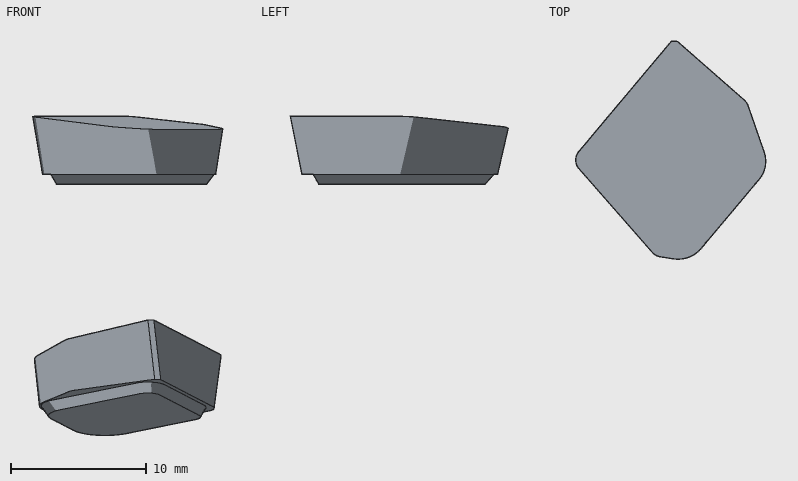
import cadquery as cq
import math

height = 5.03
base_height = 0.73
top_tilt = 4.8
trim_size = 48.36

UPPER_LEFT = 140
LOWER_LEFT = 220
LOWER_RIGHT = 320
BOTTOM_END = 260
RIGHT_END = 20
UPPER_RIGHT = 50
BASE_UPPER_RIGHT = 40
TIP = 90

upper_left_distance = 5.15
body_walls = [
    (UPPER_LEFT, upper_left_distance, 0.0, 1.0),
    (LOWER_LEFT, 6.1, 0.26, 1.0),
    (BOTTOM_END, 8.11, 0.26, 2.18),
    (LOWER_RIGHT, 6.4, 0.0, 2.0),
    (RIGHT_END, 6.64, 0.21, 1.0),
    (UPPER_RIGHT, 6.5, 0.26, 0.0),
    (TIP, 8.06, 0.2, 0.0),
]

base_draft = 30.0
base_spread = base_height * math.tan(math.radians(base_draft))
base_walls = [
    (UPPER_LEFT, 4.34, 1.0, base_spread),
    (LOWER_LEFT, 4.19, 2.61, 0.0),
    (LOWER_RIGHT, 5.84, 1.97, 0.0),
    (BASE_UPPER_RIGHT, 4.03, 1.0, base_spread),
]


def unit(angle):
    return cq.Vector(math.cos(math.radians(angle)), math.sin(math.radians(angle)), 0)


def wall_crossing(first, second):
    """Point where two walls, each a (normal direction, distance) pair, meet."""
    turn = math.sin(math.radians(second[0] - first[0]))
    n1 = unit(first[0])
    n2 = unit(second[0])
    x = (first[1] * n2.y - second[1] * n1.y) / turn
    y = (second[1] * n1.x - first[1] * n2.x) / turn
    return cq.Vector(x, y, 0)


def section(walls, z):
    """Closed outline at height z from (normal direction, distance, next corner radius)."""
    lift = cq.Vector(0, 0, z)
    corners = []
    for i, wall in enumerate(walls):
        following = walls[(i + 1) % len(walls)]
        angle, distance, radius = wall
        center = wall_crossing((angle, distance - radius), (following[0], following[1] - radius))
        half_turn = (following[0] - angle) % 360 / 2
        arc = [center + unit(angle + step * half_turn) * radius + lift for step in range(3)]
        corners.append((radius, arc))

    edges = []
    for i, (radius, arc) in enumerate(corners):
        previous_end = corners[i - 1][1][2]
        edges.append(cq.Edge.makeLine(previous_end, arc[0]))
        if radius > 0:
            edges.append(cq.Edge.makeThreePointArc(*arc))
    return cq.Wire.assembleEdges(edges)


def make_body():
    descent = height - base_height
    upper = [(angle, distance, radius) for angle, distance, draft, radius in body_walls]
    lower = [(angle, distance - draft * descent, radius) for angle, distance, draft, radius in body_walls]
    return cq.Solid.makeLoft([section(lower, base_height), section(upper, height)], True)


def make_base():
    lower = [(angle, distance, radius) for angle, distance, radius, growth in base_walls]
    upper = [
        (angle, distance + base_spread, radius + growth)
        for angle, distance, radius, growth in base_walls
    ]
    return cq.Solid.makeLoft([section(lower, 0), section(upper, base_height)], True)


def make_top_trim():
    """Block above the sloping top face, hinged on the top edge of the upper-left wall."""
    hinge = unit(UPPER_LEFT) * upper_left_distance + cq.Vector(0, 0, height)
    hinge_line = unit(UPPER_LEFT - 90)
    tilt = math.radians(top_tilt)
    normal = cq.Vector(0, 0, math.cos(tilt)) - unit(UPPER_LEFT) * math.sin(tilt)
    plane = cq.Plane(origin=hinge, xDir=hinge_line, normal=normal)
    return cq.Workplane(plane).rect(trim_size, trim_size).extrude(trim_size)


body = cq.Workplane(make_body()).cut(make_top_trim())
result = body.union(cq.Workplane(make_base()))